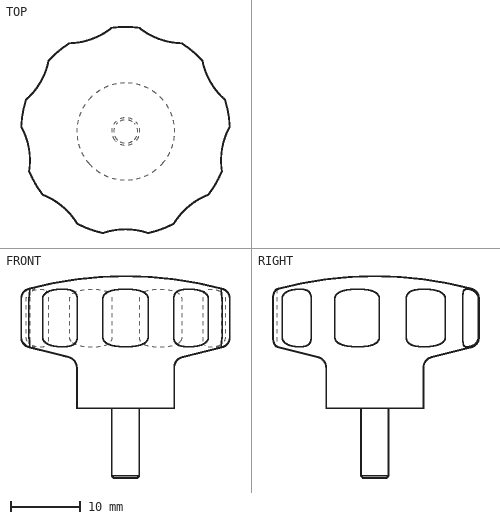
import cadquery as cq
import math

stud_radius = 2.0
stud_length = 10.0
stud_chamfer = 0.3
hub_radius = 7.0

head_radius = 15.0
total_height = 19.0
dome_radius = 54.0
cone_angle = 14.0
cone_base_height = 7.05
edge_fillet = 1.5

scallop_count = 9
scallop_radius = 10.0
scallop_floor = 14.1
first_scallop_angle = -90.0


def dome_height(radius):
    """Height of the domed top at a given distance from the axis."""
    centre_height = total_height - dome_radius
    return centre_height + math.sqrt(dome_radius**2 - radius**2)


def make_head_and_hub():
    cone_rise = (head_radius - hub_radius) * math.tan(math.radians(cone_angle))
    rim_bottom = cone_base_height + cone_rise
    rim_top = dome_height(head_radius)
    body = (
        cq.Workplane("XZ")
        .lineTo(hub_radius, 0)
        .lineTo(hub_radius, cone_base_height)
        .lineTo(head_radius, rim_bottom)
        .lineTo(head_radius, rim_top)
        .threePointArc((head_radius / 2, dome_height(head_radius / 2)), (0, total_height))
        .close()
        .revolve(360, (0, 0, 0), (0, 1, 0))
    )
    hub_ends = body.edges("%CIRCLE").edges(cq.selectors.RadiusNthSelector(0))
    body = hub_ends.edges(">Z").fillet(edge_fillet)
    rim_edges = body.edges("%CIRCLE").edges(cq.selectors.RadiusNthSelector(-2))
    return rim_edges.fillet(edge_fillet)


def make_stud():
    return (
        cq.Workplane("XY")
        .circle(stud_radius)
        .extrude(-stud_length)
        .faces("<Z")
        .chamfer(stud_chamfer)
    )


def make_scallop_cutters():
    return (
        cq.Workplane("XY")
        .polarArray(scallop_floor + scallop_radius, first_scallop_angle, 360, scallop_count)
        .circle(scallop_radius)
        .extrude(total_height)
    )


result = make_head_and_hub().cut(make_scallop_cutters()).union(make_stud())